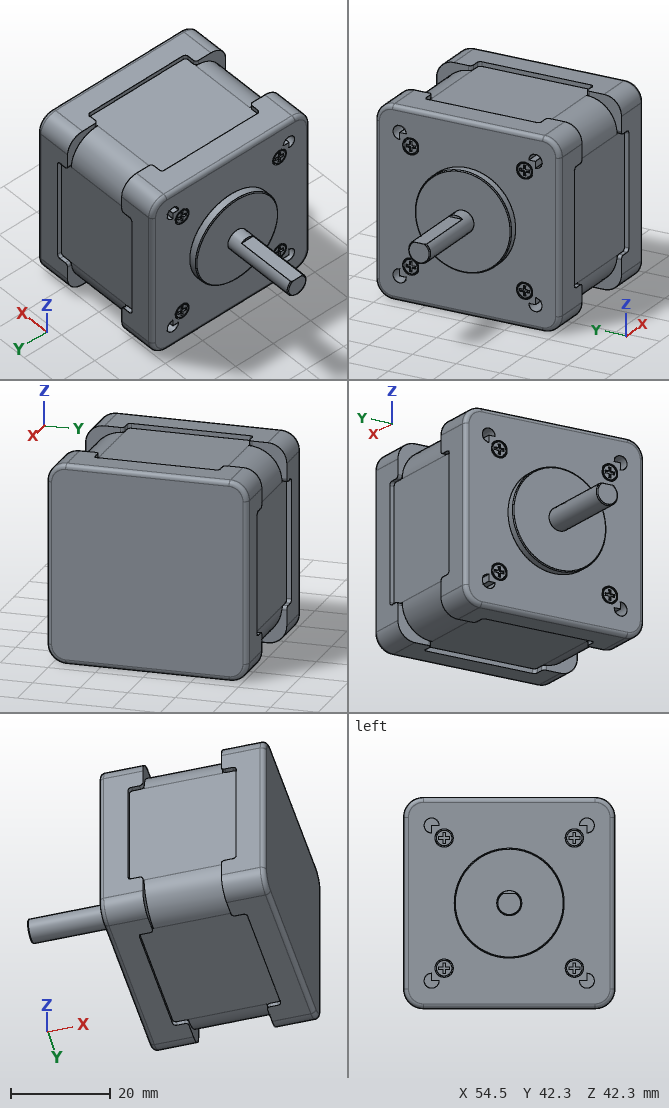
import cadquery as cq

frame_width = 42.3
body_length = 34.5
overall_length = 54.5
shaft_reach = overall_length - body_length

cap_length = 9.1
cap_corner_radius = 4.0
front_fillet = 1.0
rear_fillet = 1.05

core_width = 40.3
core_flat_width = 26.25
core_corner_radius = (core_width - core_flat_width) / 2

panel_overlap = 3.05
panel_corner_radius = 0.7

boss_diameter = 22.0
boss_height = 1.9
boss_chamfer = 0.2
shaft_diameter = 5.0
shaft_chamfer = 0.2
flat_length = 15.05
flat_depth = 0.55

hole_offset = 15.55
hole_diameter = 3.0
hole_depth = 4.5

screw_offset = 13.0
screw_head_diameter = 3.1
screw_gap = 0.25
screw_gap_depth = 0.5
cross_length = 2.2
cross_width = 0.55
cross_depth = 0.5


def yz_plane(x):
    """Work plane across the motor axis: local x is +Y, local y is +Z."""
    return cq.Workplane("YZ", origin=(x, 0, 0))


def corners(offset):
    """Four points at equal distances from the motor axis along Y and Z."""
    return [(y, z) for y in (-offset, offset) for z in (-offset, offset)]


def rounded_square(x, length, width, corner_radius):
    """Square bar along X, starting at x, with its four long edges rounded."""
    return yz_plane(x).rect(width, width).extrude(length).edges("|X").fillet(corner_radius)


def end_cap(x):
    """Plain square cap with rounded corners, reaching from x towards +X."""
    return rounded_square(x, cap_length, frame_width, cap_corner_radius)


def panel_recess():
    """Panel opening on the +Z side, cut into both caps down to the core flat."""
    depth = (frame_width - core_width) / 2
    gap_length = body_length - 2 * cap_length
    opening = (
        cq.Workplane("XY", origin=(body_length / 2, 0, core_width / 2))
        .rect(gap_length + 2 * panel_overlap, core_flat_width)
        .extrude(depth)
        .edges("|Z")
        .fillet(panel_corner_radius)
    )
    mouth_radius = panel_corner_radius
    half_width = core_flat_width / 2
    for x, inward in ((cap_length, -1), (body_length - cap_length, 1)):
        for side in (-1, 1):
            mouth = (
                cq.Workplane("XY", origin=(0, 0, core_width / 2))
                .moveTo(x, side * half_width)
                .lineTo(x + inward * mouth_radius, side * half_width)
                .radiusArc((x, side * (half_width + mouth_radius)), inward * side * mouth_radius)
                .close()
                .extrude(depth)
            )
            opening = opening.union(mouth)
    return opening


def mounting_holes():
    """Round holes less the square prism that fills the quarter facing the motor axis."""
    holes = yz_plane(0).pushPoints(corners(hole_offset)).circle(hole_diameter / 2).extrude(hole_depth)
    return holes.cut(yz_plane(0).rect(2 * hole_offset, 2 * hole_offset).extrude(hole_depth))


def screw_marks():
    """Clearance ring around each screw head plus its cross-shaped driver recess."""
    centres = corners(screw_offset)
    head_radius = screw_head_diameter / 2
    rings = (
        yz_plane(0)
        .pushPoints(centres)
        .circle(head_radius + screw_gap)
        .circle(head_radius)
        .extrude(screw_gap_depth)
    )
    bars = yz_plane(0).pushPoints(centres).rect(cross_length, cross_width).extrude(cross_depth)
    posts = yz_plane(0).pushPoints(centres).rect(cross_width, cross_length).extrude(cross_depth)
    return rings.union(bars).union(posts)


def pilot_boss():
    """Centring disc on the mounting face with a bevelled rim."""
    boss = yz_plane(-boss_height).circle(boss_diameter / 2).extrude(boss_height)
    return boss.faces("<X").chamfer(boss_chamfer)


def shaft():
    """D-shaft with its flat on top, ending short of the boss."""
    rod = yz_plane(-shaft_reach).circle(shaft_diameter / 2).extrude(shaft_reach)
    rod = rod.faces("<X").chamfer(shaft_chamfer)
    flat = cq.Workplane("XY").box(flat_length, shaft_diameter, flat_depth, centered=(False, True, False))
    return rod.cut(flat.translate((-shaft_reach, 0, shaft_diameter / 2 - flat_depth)))


front_cap = end_cap(0).faces("<X").edges().fillet(front_fillet)
rear_cap = end_cap(body_length - cap_length).faces(">X").edges().fillet(rear_fillet)
caps = front_cap.union(rear_cap)

recess = panel_recess()
for quarter_turn in range(4):
    caps = caps.cut(recess.rotate((0, 0, 0), (1, 0, 0), 90 * quarter_turn))

core = rounded_square(cap_length / 2, body_length - cap_length, core_width, core_corner_radius)
body = caps.union(core)
body = body.cut(mounting_holes()).cut(screw_marks())

result = body.union(pilot_boss()).union(shaft())